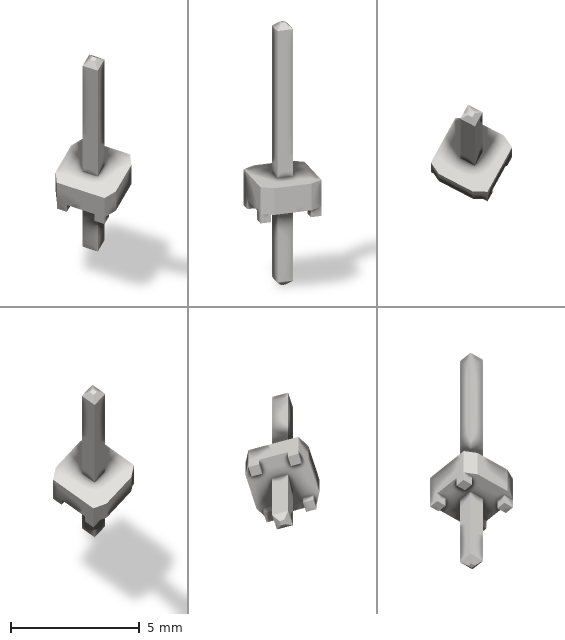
import cadquery as cq

PIN_LENGTH = 10.92
PIN_SIDE = 0.64
TIP_HEIGHT = 0.22
TIP_SIDE = 0.19

HOUSING_X = 2.54
HOUSING_Y = 2.49
HOUSING_HEIGHT = 1.11
HOUSING_TOP_Z = -0.9
BEVEL_X = 0.26
BEVEL_Y = 0.49

FOOT_SIDE = 0.43
FOOT_HEIGHT = 0.39

HOUSING_BOTTOM_Z = HOUSING_TOP_Z - HOUSING_HEIGHT
FLAT_HALF_X = HOUSING_X / 2 - BEVEL_X
FLAT_HALF_Y = HOUSING_Y / 2 - BEVEL_Y


def make_tip(base_z, direction):
    """Truncated pyramid growing from base_z; direction is +1 up or -1 down."""
    return (
        cq.Workplane("XY", origin=(0, 0, base_z))
        .rect(PIN_SIDE, PIN_SIDE)
        .workplane(offset=direction * TIP_HEIGHT)
        .rect(TIP_SIDE, TIP_SIDE)
        .loft(ruled=True)
    )


def make_pin():
    """Square shaft with a tapered tip at both ends."""
    shaft_length = PIN_LENGTH - 2 * TIP_HEIGHT
    shaft = cq.Workplane("XY").box(PIN_SIDE, PIN_SIDE, shaft_length)
    for direction in (1, -1):
        shaft = shaft.union(make_tip(direction * shaft_length / 2, direction))
    return shaft


def make_block():
    """Eight-sided block with unequal corner bevels."""
    half_x = HOUSING_X / 2
    half_y = HOUSING_Y / 2
    outline = [
        (FLAT_HALF_X, -half_y),
        (half_x, -FLAT_HALF_Y),
        (half_x, FLAT_HALF_Y),
        (FLAT_HALF_X, half_y),
        (-FLAT_HALF_X, half_y),
        (-half_x, FLAT_HALF_Y),
        (-half_x, -FLAT_HALF_Y),
        (-FLAT_HALF_X, -half_y),
    ]
    return (
        cq.Workplane("XY", origin=(0, 0, HOUSING_BOTTOM_Z))
        .polyline(outline)
        .close()
        .extrude(HOUSING_HEIGHT)
    )


def make_feet():
    """Four square feet below the block, one near each corner."""
    spacing_x = 2 * FLAT_HALF_X - FOOT_SIDE
    spacing_y = HOUSING_Y - FOOT_SIDE
    return (
        cq.Workplane("XY", origin=(0, 0, HOUSING_BOTTOM_Z))
        .rect(spacing_x, spacing_y, forConstruction=True)
        .vertices()
        .rect(FOOT_SIDE, FOOT_SIDE)
        .extrude(-FOOT_HEIGHT)
    )


def make_housing():
    """Block and feet as one body, with a square through hole that fits the pin."""
    pin_hole = (
        cq.Workplane("XY", origin=(0, 0, HOUSING_BOTTOM_Z))
        .rect(PIN_SIDE, PIN_SIDE)
        .extrude(HOUSING_HEIGHT)
    )
    return make_block().union(make_feet()).cut(pin_hole)


pin = make_pin()
housing = make_housing()

result = cq.Compound.makeCompound([housing.val(), pin.val()])